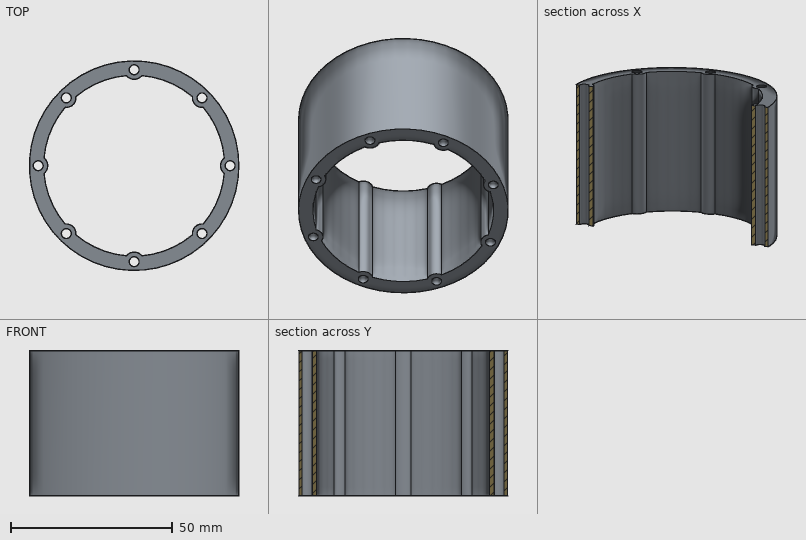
import cadquery as cq

outer_diameter = 65.0
inner_diameter = 56.0
height = 45.0

screw_count = 8
hole_diameter = 3.0
boss_diameter = 6.0
hole_circle_radius = 29.75


def screw_cylinders(diameter):
    """Full-height cylinders evenly spaced on the screw circle."""
    return (
        cq.Workplane("XY")
        .polarArray(hole_circle_radius, 0, 360, screw_count)
        .circle(diameter / 2)
        .extrude(height)
    )


def outer_body():
    """Solid cylinder that bounds the whole part."""
    return cq.Workplane("XY").circle(outer_diameter / 2).extrude(height)


def bore():
    """Through opening, with the screw bosses left standing in it."""
    opening = cq.Workplane("XY").circle(inner_diameter / 2).extrude(height)
    return opening.cut(screw_cylinders(boss_diameter))


result = outer_body().cut(bore()).cut(screw_cylinders(hole_diameter))